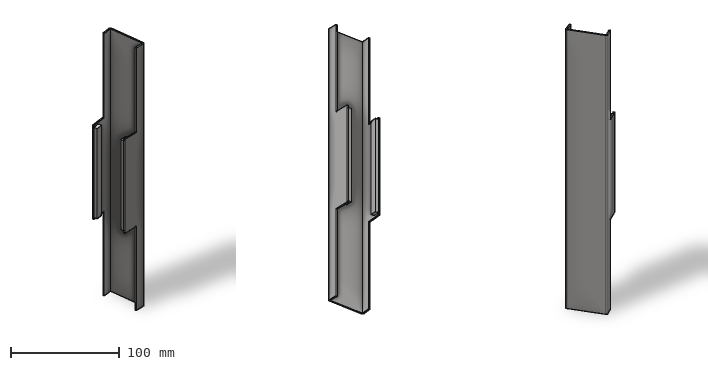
import cadquery as cq
import math

length = 290.5
width = 40.7
depth = 27.0

sheet = 1.6
bend_radius = sheet
lean = 2.8
flange_depth = 11.3
wing_length = 104.0

strip_thickness = 3.5
strip_depth = 6.7
strip_length = 100.0

lean_angle = math.radians(lean)
back_y = depth / 2
front_y = -depth / 2

corner_x = width / 2 - bend_radius * (1 - math.tan(lean_angle) - 1 / math.cos(lean_angle))


def wall_point(inset, distance):
    """Point on the +X wall: inset from its outer face, distance along the wall from the outer corner."""
    x = corner_x - inset * math.cos(lean_angle) - distance * math.sin(lean_angle)
    y = back_y + inset * math.sin(lean_angle) - distance * math.cos(lean_angle)
    return x, y


def mirrored(points):
    return [(-x, y) for x, y in reversed(points)]


def make_channel_section(wall_length, section_length):
    """Channel with square-ended leaning walls and rounded outer bends, centred on Z = 0."""
    inner_y = back_y - sheet
    inner_start = (sheet + sheet * math.sin(lean_angle)) / math.cos(lean_angle)
    inner_x = wall_point(sheet, inner_start)[0]
    right_half = [
        (corner_x, back_y),
        wall_point(0, wall_length),
        wall_point(sheet, wall_length),
        (inner_x, inner_y),
    ]
    section = (
        cq.Workplane("XY")
        .polyline(right_half + mirrored(right_half))
        .close()
        .extrude(section_length / 2, both=True)
    )
    return section.edges("|Z").edges(">Y").fillet(bend_radius)


flange_wall = flange_depth / math.cos(lean_angle)
wing_wall = (back_y - front_y) / math.cos(lean_angle)


def make_channel():
    flanges = make_channel_section(flange_wall, length)
    wings = make_channel_section(wing_wall, wing_length)
    return flanges.union(wings, clean=True)


def make_strip(side):
    """Rectangular strip lying on the inner face of one wing, flush with its end; side is +1 or -1."""
    outline = [
        wall_point(sheet, wing_wall),
        wall_point(sheet + strip_thickness, wing_wall),
        wall_point(sheet + strip_thickness, wing_wall - strip_depth),
        wall_point(sheet, wing_wall - strip_depth),
    ]
    if side < 0:
        outline = mirrored(outline)
    return cq.Workplane("XY").polyline(outline).close().extrude(strip_length / 2, both=True)


channel = make_channel()
strips = [make_strip(side) for side in (-1, 1)]

result = cq.Compound.makeCompound([channel.val(), *[strip.val() for strip in strips]])